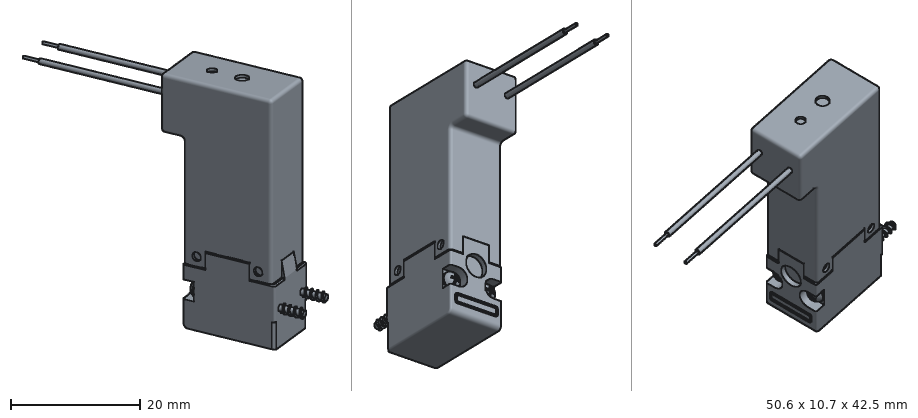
import cadquery as cq
import math

TURN_ANGLE = 2.0

COIL_LENGTH = 19.85
COIL_WIDTH = 10.0
TOTAL_HEIGHT = 42.55
OVERHANG = 4.05
OVERHANG_HEIGHT = 10.0
OVERHANG_INNER_RADIUS = 0.6
COIL_FILLET = 0.6
COIL_FRONT = -COIL_LENGTH / 2
COIL_BACK = COIL_LENGTH / 2
SHANK_FRONT = COIL_FRONT + OVERHANG
SHANK_MID = (SHANK_FRONT + COIL_BACK) / 2

TOP_HOLES = [(-3.6, 1.6), (1.75, 2.25)]
TOP_HOLE_DEPTH = 0.5

SNAP_SPACING = 11.0
SNAP_DIAMETER = 1.5
SNAP_HEIGHT = 12.8
SNAP_DEPTH = 0.5

WIRE_SPACING = 6.0
WIRE_HEIGHT = 38.55
WIRE_DIAMETER = 0.95
WIRE_LENGTH = 22.65
CONDUCTOR_DIAMETER = 0.5
CONDUCTOR_LENGTH = 2.95

BASE_WIDTH = 10.0
BASE_HEIGHT = 11.15
BASE_FRONT_LIP = 0.1
BASE_BACK_LIP = 0.55
BASE_FILLET = 0.3
BASE_TOE_FILLET = 0.9
BASE_TOP_CHAMFER = 0.25
HEEL_CHAMFER = 0.5
HEEL_HEIGHT = 4.75
BASE_FRONT = SHANK_FRONT - BASE_FRONT_LIP
BASE_BACK = COIL_BACK + BASE_BACK_LIP

TONGUE_TOP = 14.0
TONGUE_LENGTH = 7.9
FRONT_TAB_WIDTH = 5.0
BACK_TAB_WIDTH = 3.8

OVERRIDE_DIAMETER = 3.95
OVERRIDE_HEIGHT = 9.65
OVERRIDE_DEPTH = 1.0

PLATE_LENGTH = 8.25
PLATE_HEIGHT = 1.75
PLATE_CENTRE_Z = 2.85
PLATE_RIM = 0.3
PLATE_RADIUS = 0.45
PLATE_RISE = 0.15

SCREW_SPACING = 6.8
SCREW_HEIGHT = 6.7
POCKET_DIAMETER = 3.35
POCKET_DEPTH = 1.95
HEAD_DIAMETER = 3.15
HEAD_HEIGHT = 1.25
HEAD_RIM = 0.25
CROSS_LENGTH = 1.5
CROSS_WIDTH = 0.35
CROSS_DEPTH = 0.6
CROSS_TILT = 10
CORE_DIAMETER = 1.1
THREAD_DIAMETER = 1.7
THREAD_PITCH = 1.0
THREAD_ROOT = 0.4
THREAD_CREST = 0.1
SCREW_PROJECTION = 4.4
THREAD_SINK = 0.1


def block(x_min, x_max, width, z_min, z_max):
    """Box centred on the XZ plane."""
    size = (x_max - x_min, width, z_max - z_min)
    return cq.Workplane("XY").box(*size, centered=(False, True, False)).translate((x_min, 0, z_min))


def rod(x_min, x_max, diameter, y, z):
    """Round bar along X."""
    bar = cq.Workplane("YZ").circle(diameter / 2).extrude(x_max - x_min)
    return bar.translate((x_min, y, z))


def make_tongues(edge_chamfer=0):
    """Cross tongue plus a front tab and a sloped back tab."""
    half = TONGUE_LENGTH / 2
    cross = block(SHANK_MID - half, SHANK_MID + half, BASE_WIDTH, 0, TONGUE_TOP)
    if edge_chamfer:
        cross = cross.faces(">Z").edges("|X").chamfer(edge_chamfer)
    front_tab = block(BASE_FRONT, SHANK_MID, FRONT_TAB_WIDTH, 0, TONGUE_TOP)
    back_tab = (
        cq.Workplane("XZ")
        .moveTo(SHANK_MID, 0)
        .lineTo(BASE_BACK, 0)
        .lineTo(BASE_BACK, BASE_HEIGHT)
        .lineTo(COIL_BACK, TONGUE_TOP)
        .lineTo(SHANK_MID, TONGUE_TOP)
        .close()
        .extrude(BACK_TAB_WIDTH / 2, both=True)
    )
    above_floor = block(BASE_FRONT, BASE_BACK, BASE_WIDTH, BASE_HEIGHT / 2, TONGUE_TOP)
    return cross.union(front_tab).union(back_tab).intersect(above_floor)


def make_screw(y):
    """Pan-head screw with a cross recess and a helical thread on its free end."""
    seat = BASE_FRONT + POCKET_DEPTH
    crown = seat - HEAD_HEIGHT
    radius = HEAD_DIAMETER / 2
    dome = HEAD_HEIGHT - HEAD_RIM
    sphere_radius = (radius**2 + dome**2) / (2 * dome)
    mid_radius = radius / 2
    mid_x = crown + sphere_radius - math.sqrt(sphere_radius**2 - mid_radius**2)
    head = (
        cq.Workplane("XY")
        .moveTo(crown, 0)
        .threePointArc((mid_x, mid_radius), (seat - HEAD_RIM, radius))
        .lineTo(seat, radius)
        .lineTo(seat, 0)
        .close()
        .revolve(360, (0, 0, 0), (1, 0, 0))
    )
    for angle in (CROSS_TILT, CROSS_TILT + 90):
        slot = cq.Workplane("XY").box(2 * CROSS_DEPTH, CROSS_LENGTH, CROSS_WIDTH)
        head = head.cut(slot.rotate((0, 0, 0), (1, 0, 0), angle).translate((crown, 0, 0)))

    core_radius = CORE_DIAMETER / 2
    sunk_radius = core_radius - THREAD_SINK
    thread_length = SCREW_PROJECTION - THREAD_ROOT
    path = cq.Wire.makeHelix(THREAD_PITCH, thread_length, core_radius)
    thread = (
        cq.Workplane("XZ")
        .moveTo(sunk_radius, -THREAD_ROOT / 2)
        .lineTo(THREAD_DIAMETER / 2, -THREAD_CREST / 2)
        .lineTo(THREAD_DIAMETER / 2, THREAD_CREST / 2)
        .lineTo(sunk_radius, THREAD_ROOT / 2)
        .close()
        .sweep(cq.Workplane(path), isFrenet=True)
        .rotate((0, 0, 0), (0, 1, 0), 90)
        .translate((BASE_BACK + THREAD_ROOT / 2, 0, 0))
    )
    core = rod(seat, BASE_BACK + SCREW_PROJECTION, CORE_DIAMETER, 0, 0)
    return core.union(thread).union(head).translate((0, y, SCREW_HEIGHT))


def screw_pocket(side):
    """Round counterbore opened out to the long side of the base."""
    y = side * SCREW_SPACING / 2
    bore = rod(BASE_FRONT, BASE_FRONT + POCKET_DEPTH, POCKET_DIAMETER, y, SCREW_HEIGHT)
    opening = cq.Workplane("XY").box(POCKET_DEPTH, BASE_WIDTH, POCKET_DIAMETER, centered=(False, True, True))
    return bore.union(opening.translate((BASE_FRONT, y + side * BASE_WIDTH / 2, SCREW_HEIGHT)))


def make_name_plate_rim():
    """Raised rounded frame on the front of the base."""
    def rounded(length, height, radius):
        plate = cq.Workplane("YZ").rect(length, height).extrude(PLATE_RISE)
        return plate.edges("|X").fillet(radius)

    inner = rounded(PLATE_LENGTH - 2 * PLATE_RIM, PLATE_HEIGHT - 2 * PLATE_RIM, PLATE_RADIUS - PLATE_RIM)
    rim = rounded(PLATE_LENGTH, PLATE_HEIGHT, PLATE_RADIUS).cut(inner)
    return rim.translate((BASE_FRONT - PLATE_RISE, 0, PLATE_CENTRE_Z))


def heel_cut(side):
    """Wedge that bevels a back upright corner below the heel height."""
    y = side * BASE_WIDTH / 2
    return (
        cq.Workplane("XY")
        .moveTo(BASE_BACK, y)
        .lineTo(BASE_BACK - HEEL_CHAMFER, y)
        .lineTo(BASE_BACK, y - side * HEEL_CHAMFER)
        .close()
        .extrude(HEEL_HEIGHT)
    )


def make_base():
    base = block(BASE_FRONT, BASE_BACK, BASE_WIDTH, 0, BASE_HEIGHT)
    base = base.edges("<X and <Z").fillet(BASE_TOE_FILLET)
    base = base.edges("|Z or (|X and <Z)").fillet(BASE_FILLET)
    base = base.faces(">Z").edges().chamfer(BASE_TOP_CHAMFER)
    base = base.union(make_tongues(BASE_TOP_CHAMFER))
    base = base.cut(
        rod(BASE_FRONT, BASE_FRONT + OVERRIDE_DEPTH, OVERRIDE_DIAMETER, 0, OVERRIDE_HEIGHT)
    )
    base = base.union(make_name_plate_rim())
    for side in (-1, 1):
        base = base.cut(heel_cut(side))
        base = base.cut(screw_pocket(side)).union(make_screw(side * SCREW_SPACING / 2))
    return base


def make_coil_housing():
    step_z = TOTAL_HEIGHT - OVERHANG_HEIGHT
    coil = block(COIL_FRONT, COIL_BACK, COIL_WIDTH, BASE_HEIGHT, TOTAL_HEIGHT)
    coil = coil.cut(block(COIL_FRONT, SHANK_FRONT, COIL_WIDTH, BASE_HEIGHT, step_z))
    inner_corner = cq.selectors.NearestToPointSelector((SHANK_FRONT, 0, step_z))
    coil = coil.edges(inner_corner).fillet(OVERHANG_INNER_RADIUS)
    coil = coil.edges("not <Z").fillet(COIL_FILLET)
    coil = coil.cut(make_tongues())

    for x, diameter in TOP_HOLES:
        hole = cq.Workplane("XY").circle(diameter / 2).extrude(TOP_HOLE_DEPTH)
        coil = coil.cut(hole.translate((x, 0, TOTAL_HEIGHT - TOP_HOLE_DEPTH)))

    for side in (-1, 1):
        for end in (-1, 1):
            hole = cq.Workplane("XZ").circle(SNAP_DIAMETER / 2).extrude(SNAP_DEPTH, both=True)
            place = (SHANK_MID + end * SNAP_SPACING / 2, side * COIL_WIDTH / 2, SNAP_HEIGHT)
            coil = coil.cut(hole.translate(place))

    sleeve_tip = COIL_FRONT - WIRE_LENGTH
    for side in (-1, 1):
        y = side * WIRE_SPACING / 2
        coil = coil.union(rod(sleeve_tip, COIL_FRONT, WIRE_DIAMETER, y, WIRE_HEIGHT))
        tip = sleeve_tip - CONDUCTOR_LENGTH
        coil = coil.union(rod(tip, sleeve_tip, CONDUCTOR_DIAMETER, y, WIRE_HEIGHT))
    return coil


def turned(body):
    return body.rotate((0, 0, 0), (0, 0, 1), TURN_ANGLE)


base = turned(make_base())
coil_housing = turned(make_coil_housing())
result = cq.Compound.makeCompound([coil_housing.val(), base.val()])